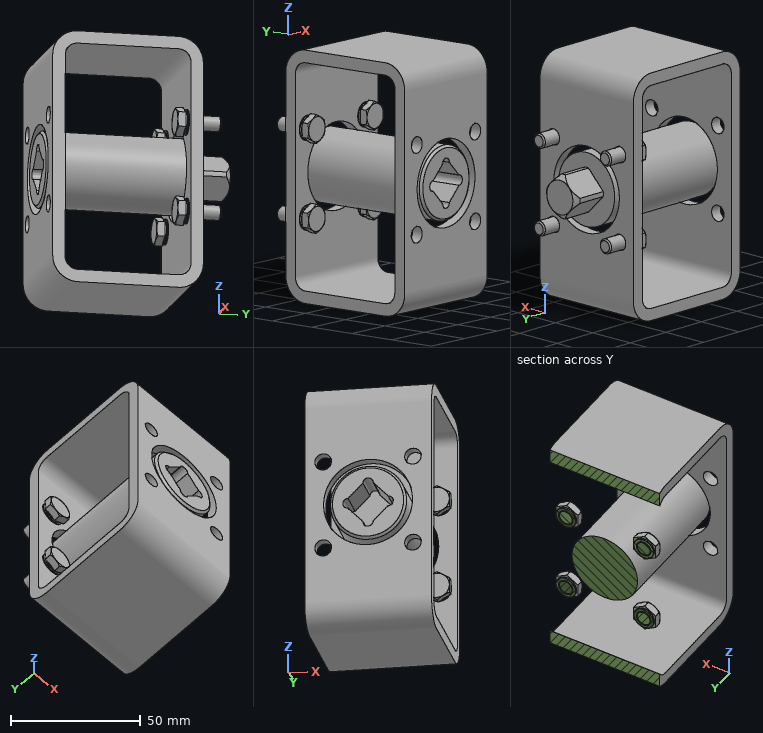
import cadquery as cq
import math

BRACKET_WIDTH = 50
BRACKET_DEPTH = 60
BRACKET_HEIGHT = 100
WALL = 5
OUTER_RADIUS = 10
INNER_RADIUS = OUTER_RADIUS - WALL
SHAFT_OPENING_DIAMETER = 35
BOLT_HOLE_DIAMETER = 6.5
BOLT_CIRCLE_DIAMETER = 50

SHAFT_DIAMETER = 30
SHAFT_LENGTH = BRACKET_DEPTH
SHAFT_CHAMFER = 1
SQUARE_SIZE = 14
SQUARE_LENGTH = 15
DRIVE_CORNER_DIAMETER = 17.9
DRIVE_CHAMFER = 2
SOCKET_DEPTH = SQUARE_LENGTH
SOCKET_RELIEF_RADIUS = 2

WASHER_INNER_DIAMETER = 6.4
WASHER_OUTER_DIAMETER = 10
WASHER_THICKNESS = 0.7
WASHER_BEVEL_LENGTH = 0.3
WASHER_BEVEL_WIDTH = 0.5
WASHER_SEAT_Y = BRACKET_DEPTH - WALL

BOLT_DIAMETER = 6
BOLT_LENGTH = 14
BOLT_TIP_CHAMFER = 0.6
HEAD_ACROSS_FLATS = 10
HEAD_ACROSS_CORNERS = HEAD_ACROSS_FLATS / math.cos(math.radians(30))
HEAD_HEIGHT = 4
HEAD_FACE_DIAMETER = 9.9
HEAD_CHAMFER_ANGLE = 30
COLLAR_DIAMETER = 8.9
COLLAR_HEIGHT = 0.7
BEARING_Y = WASHER_SEAT_Y - WASHER_THICKNESS

BOLT_OFFSET = BOLT_CIRCLE_DIAMETER / 2 / math.sqrt(2)
BOLT_CENTRES = [
    (x_side * BOLT_OFFSET, z_side * BOLT_OFFSET)
    for x_side in (-1, 1)
    for z_side in (-1, 1)
]


def plane_at(y, x=0, z=0):
    """Sketch plane facing +Y, with its local axes along X and -Z."""
    return cq.Workplane(cq.Plane(origin=(x, y, z), xDir=(1, 0, 0), normal=(0, 1, 0)))


def rounded_block(depth, height, radius):
    """Block across the bracket width, its four edges along X rounded."""
    return (
        cq.Workplane("XY")
        .box(BRACKET_WIDTH, depth, height)
        .edges("|X")
        .fillet(radius)
        .translate((0, BRACKET_DEPTH / 2, 0))
    )


def make_bracket():
    outside = rounded_block(BRACKET_DEPTH, BRACKET_HEIGHT, OUTER_RADIUS)
    inside = rounded_block(BRACKET_DEPTH - 2 * WALL, BRACKET_HEIGHT - 2 * WALL, INNER_RADIUS)
    shaft_opening = plane_at(0).circle(SHAFT_OPENING_DIAMETER / 2).extrude(BRACKET_DEPTH)
    bolt_holes = (
        plane_at(0)
        .pushPoints(BOLT_CENTRES)
        .circle(BOLT_HOLE_DIAMETER / 2)
        .extrude(BRACKET_DEPTH)
    )
    return outside.cut(inside).cut(shaft_opening).cut(bolt_holes)


def diamond_bar(y, length):
    """Square bar along Y, standing on a corner."""
    return plane_at(y).transformed(rotate=(0, 0, 45)).rect(SQUARE_SIZE, SQUARE_SIZE).extrude(length)


def make_drive():
    """Square drive, its corners and rear end turned down to a round envelope."""
    envelope = (
        plane_at(SHAFT_LENGTH)
        .circle(DRIVE_CORNER_DIAMETER / 2)
        .extrude(SQUARE_LENGTH)
        .faces(">Y")
        .chamfer(DRIVE_CHAMFER)
    )
    return diamond_bar(SHAFT_LENGTH, SQUARE_LENGTH).intersect(envelope)


def make_socket():
    """Square socket with a round relief passing through each corner."""
    relief_offset = SQUARE_SIZE / math.sqrt(2) - SOCKET_RELIEF_RADIUS
    reliefs = (
        plane_at(0)
        .polarArray(relief_offset, 0, 360, 4)
        .circle(SOCKET_RELIEF_RADIUS)
        .extrude(SOCKET_DEPTH)
    )
    return diamond_bar(0, SOCKET_DEPTH).union(reliefs)


def make_shaft():
    body = (
        plane_at(0)
        .circle(SHAFT_DIAMETER / 2)
        .extrude(SHAFT_LENGTH)
        .faces("<Y")
        .chamfer(SHAFT_CHAMFER)
    )
    return body.union(make_drive()).cut(make_socket())


def make_washer(x, z):
    bore = plane_at(BEARING_Y, x, z).circle(WASHER_INNER_DIAMETER / 2).extrude(WASHER_THICKNESS)
    return (
        plane_at(BEARING_Y, x, z)
        .circle(WASHER_OUTER_DIAMETER / 2)
        .extrude(WASHER_THICKNESS)
        .faces("<Y")
        .chamfer(WASHER_BEVEL_LENGTH, WASHER_BEVEL_WIDTH)
        .cut(bore)
    )


def make_bolt_head(x, z):
    """Hexagon with corners up and down, its front corners turned to a cone."""
    front_y = BEARING_Y - HEAD_HEIGHT
    hexagon_height = HEAD_HEIGHT - COLLAR_HEIGHT
    cone_spread = hexagon_height / math.tan(math.radians(HEAD_CHAMFER_ANGLE))
    hexagon = (
        plane_at(front_y, x, z)
        .transformed(rotate=(0, 0, 90))
        .polygon(6, HEAD_ACROSS_CORNERS)
        .extrude(hexagon_height)
    )
    envelope = cq.Workplane(
        cq.Solid.makeCone(
            HEAD_FACE_DIAMETER / 2,
            HEAD_FACE_DIAMETER / 2 + cone_spread,
            hexagon_height,
            cq.Vector(x, front_y, z),
            cq.Vector(0, 1, 0),
        )
    )
    collar = (
        plane_at(front_y + hexagon_height, x, z)
        .circle(COLLAR_DIAMETER / 2)
        .extrude(COLLAR_HEIGHT)
    )
    return hexagon.intersect(envelope).union(collar)


def make_bolt(x, z):
    shank = (
        plane_at(BEARING_Y, x, z)
        .circle(BOLT_DIAMETER / 2)
        .extrude(BOLT_LENGTH)
        .faces(">Y")
        .chamfer(BOLT_TIP_CHAMFER)
    )
    return make_bolt_head(x, z).union(shank)


bracket = make_bracket()
shaft = make_shaft()
washers = [make_washer(x, z) for x, z in BOLT_CENTRES]
bolts = [make_bolt(x, z) for x, z in BOLT_CENTRES]

result = cq.Compound.makeCompound(
    [
        bracket.val(),
        shaft.val(),
        *[washer.val() for washer in washers],
        *[bolt.val() for bolt in bolts],
    ]
)